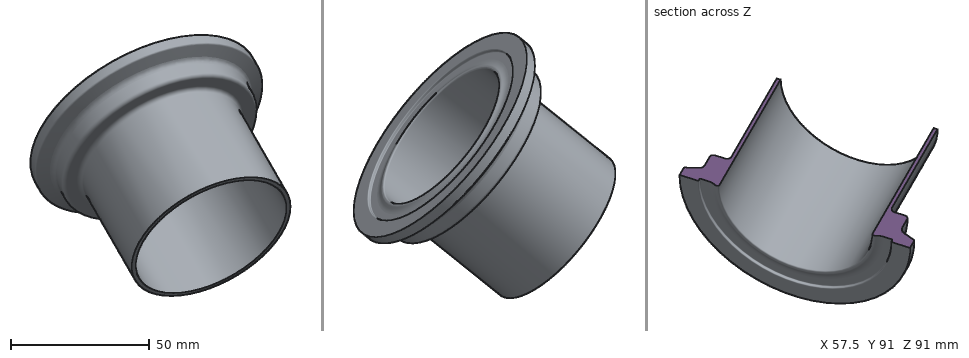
import cadquery as cq
import math

length = 57.5

flange_radius = 91 / 2
flange_cone_angle = math.radians(20)
rim_width = 3.7
rim_round = 0.7

hub_radius = 78.0 / 2
hub_end = 14.1
hub_edge_round = 1.5
hub_root_fillet = 2.2

tube_radius = 63.5 / 2
bore_radius = 60.2 / 2
tube_root_fillet = 1.6

recess_radius = 75.9 / 2
recess_depth = 1.3
recess_mouth_round = 0.4
recess_floor_fillet = 0.3

lip_foot_radius = 34.5
lip_crest_radius = 31.0
lip_height = 0.8
lip_edge_round = 0.55

flank_slope = lip_height / (lip_foot_radius - lip_crest_radius)
flank_angle = 2 * math.atan(flank_slope)
flank_hollow = (lip_foot_radius - tube_radius) / math.sin(flank_angle)
flank_crown = (tube_radius - lip_crest_radius) / math.sin(flank_angle)
lip_crest_x = recess_depth - lip_height
flank_middle_x = lip_crest_x + flank_slope * (tube_radius - lip_crest_radius)

back_edge = rim_width + rim_round * math.tan((math.pi / 2 - flange_cone_angle) / 2)
back_root = back_edge + (flange_radius - hub_radius) * math.tan(flange_cone_angle)


def round_rim(solid, x, radius, rounding):
    """Fillet the circular edge of the given radius at the given X."""
    margin = 0.01
    reach = radius + margin
    lower = (x - margin, -reach, -reach)
    upper = (x + margin, reach, reach)
    within = cq.selectors.BoxSelector(lower, upper, boundingbox=True)
    largest = cq.selectors.RadiusNthSelector(-1)
    return solid.edges(within).edges(largest).fillet(rounding)


def revolve_about_x(profile):
    """Turn a closed (X, radius) profile into a solid about the X axis."""
    return profile.close().revolve(360, (0, 0, 0), (1, 0, 0))


body = revolve_about_x(
    cq.Workplane("XY")
    .moveTo(0, 0)
    .lineTo(0, flange_radius)
    .lineTo(back_edge, flange_radius)
    .lineTo(back_root, hub_radius)
    .lineTo(hub_end, hub_radius)
    .lineTo(hub_end, tube_radius)
    .lineTo(length, tube_radius)
    .lineTo(length, 0)
)
outer_rounds = [
    (back_edge, flange_radius, rim_round),
    (back_root, hub_radius, hub_root_fillet),
    (hub_end, hub_radius, hub_edge_round),
    (hub_end, tube_radius, tube_root_fillet),
]
for x, radius, rounding in outer_rounds:
    body = round_rim(body, x, radius, rounding)

recess_mouth_radius = recess_radius + recess_mouth_round
cavity = revolve_about_x(
    cq.Workplane("XY")
    .moveTo(0, 0)
    .lineTo(0, recess_mouth_radius)
    .radiusArc((recess_mouth_round, recess_radius), -recess_mouth_round)
    .lineTo(recess_depth - recess_floor_fillet, recess_radius)
    .radiusArc((recess_depth, recess_radius - recess_floor_fillet), recess_floor_fillet)
    .lineTo(recess_depth, lip_foot_radius)
    .radiusArc((flank_middle_x, tube_radius), flank_hollow)
    .radiusArc((lip_crest_x, lip_crest_radius), -flank_crown)
    .lineTo(lip_crest_x, bore_radius + lip_edge_round)
    .radiusArc((lip_crest_x + lip_edge_round, bore_radius), -lip_edge_round)
    .lineTo(length, bore_radius)
    .lineTo(length, 0)
)

result = body.cut(cavity)